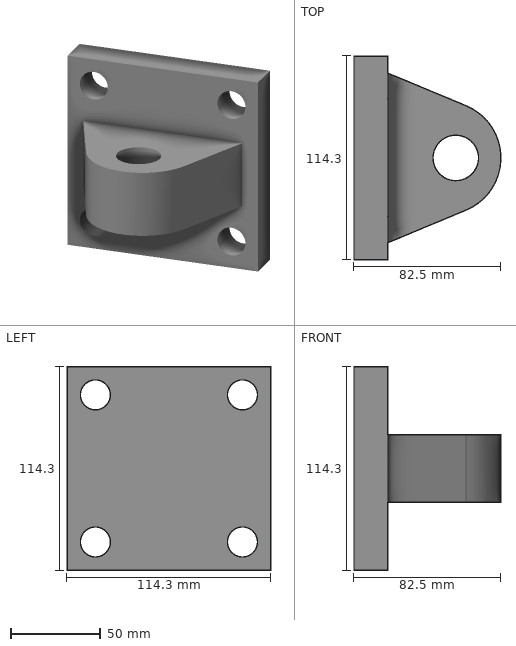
import cadquery as cq
import math

plate_side = 114.3
plate_thickness = 19.1
bolt_hole_diameter = 16.7
bolt_spacing = 82.5

lug_reach = 82.5
lug_thickness = 38.1
lug_base_width = 95.2
nose_radius = 31.8
pin_hole_x = 57.2
pin_hole_diameter = 25.4


def make_plate():
    plate = cq.Workplane("XY").box(
        plate_thickness, plate_side, plate_side, centered=(False, True, True)
    )
    bolt_holes = (
        cq.Workplane("YZ")
        .rect(bolt_spacing, bolt_spacing, forConstruction=True)
        .vertices()
        .circle(bolt_hole_diameter / 2)
        .extrude(plate_thickness)
    )
    return plate.cut(bolt_holes)


def make_lug():
    nose_center_x = lug_reach - nose_radius
    base_half_width = lug_base_width / 2
    base_offset = plate_thickness - nose_center_x
    corner_distance = math.hypot(base_offset, base_half_width)
    corner_angle = math.atan2(base_half_width, base_offset)
    tangent_angle = corner_angle - math.acos(nose_radius / corner_distance)
    tangent_x = nose_center_x + nose_radius * math.cos(tangent_angle)
    tangent_y = nose_radius * math.sin(tangent_angle)

    return (
        cq.Workplane("XY")
        .moveTo(plate_thickness, -base_half_width)
        .lineTo(tangent_x, -tangent_y)
        .threePointArc((lug_reach, 0), (tangent_x, tangent_y))
        .lineTo(plate_thickness, base_half_width)
        .close()
        .moveTo(pin_hole_x, 0)
        .circle(pin_hole_diameter / 2)
        .extrude(lug_thickness / 2, both=True)
    )


result = make_plate().union(make_lug())